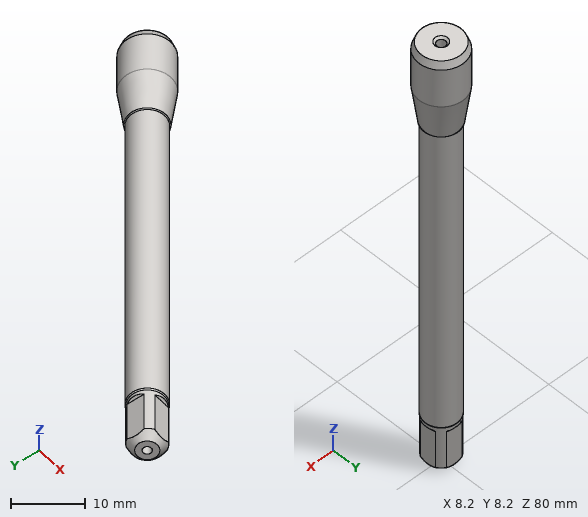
import cadquery as cq
import math

length = 80.0

head_diameter = 8.2
head_top_diameter = 7.2
head_bevel_height = 1.3
head_taper_top = 71.7
head_bottom = 65.0
head_bottom_diameter = 6.3

shaft_diameter = 6.0
shaft_bottom = 8.9
shaft_bottom_bevel = 0.2
drive_diameter = 5.8
drive_across_flats = 5.0
drive_flat_top = 8.1
flat_runout_angle = 60.0
tip_diameter = 3.4

hole_diameter = 1.4
bore_diameter = 1.5
bore_depth = 8.0
countersink_diameter = 2.2


def turned_body():
    """Revolve the half profile of the head, shaft and bevelled tip about Z."""
    tip_bevel = (drive_diameter - tip_diameter) / 2
    head_bottom_step = (head_bottom_diameter - shaft_diameter) / 2
    profile = [
        (0, 0),
        (tip_diameter / 2, 0),
        (drive_diameter / 2, tip_bevel),
        (drive_diameter / 2, shaft_bottom),
        (shaft_diameter / 2, shaft_bottom + shaft_bottom_bevel),
        (shaft_diameter / 2, head_bottom - head_bottom_step),
        (head_bottom_diameter / 2, head_bottom),
        (head_diameter / 2, head_taper_top),
        (head_diameter / 2, length - head_bevel_height),
        (head_top_diameter / 2, length),
        (0, length),
    ]
    return cq.Workplane("XZ").polyline(profile).close().revolve(360, (0, 0, 0), (0, 1, 0))


def drive_flats_cutter():
    """Block around a square core; the core flares at the top so each flat ends in a sloped runout."""
    runout_height = (drive_diameter - drive_across_flats) / 2 / math.tan(math.radians(flat_runout_angle))
    core = cq.Workplane("XY").rect(drive_across_flats, drive_across_flats).extrude(drive_flat_top)
    flare = (
        cq.Workplane("XY", origin=(0, 0, drive_flat_top))
        .rect(drive_across_flats, drive_across_flats)
        .extrude(runout_height, taper=-flat_runout_angle)
    )
    block = (
        cq.Workplane("XY")
        .rect(2 * drive_diameter, 2 * drive_diameter)
        .extrude(drive_flat_top + runout_height)
    )
    return block.cut(core).cut(flare)


def axial_hole_cutter():
    """Through hole with a slightly wider upper bore and a 90 degree countersink."""
    countersink_depth = (countersink_diameter - bore_diameter) / 2
    profile = [
        (0, 0),
        (hole_diameter / 2, 0),
        (hole_diameter / 2, length - bore_depth),
        (bore_diameter / 2, length - bore_depth),
        (bore_diameter / 2, length - countersink_depth),
        (countersink_diameter / 2, length),
        (0, length),
    ]
    return cq.Workplane("XZ").polyline(profile).close().revolve(360, (0, 0, 0), (0, 1, 0))


result = turned_body().cut(drive_flats_cutter()).cut(axial_hole_cutter())